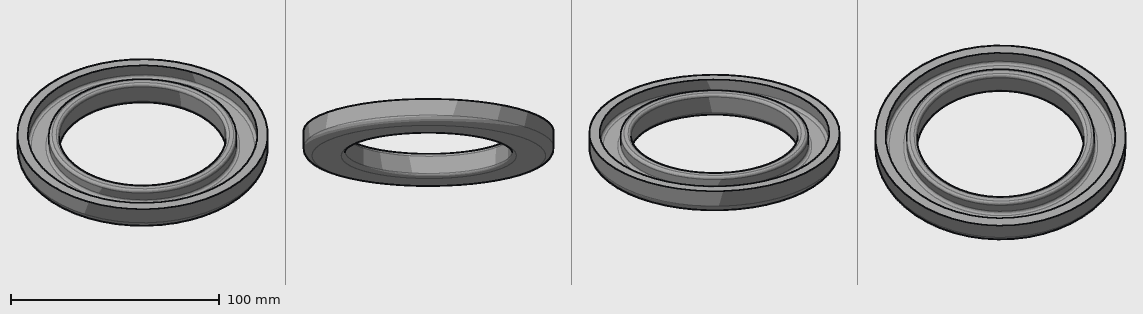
import cadquery as cq

outer_diameter = 120.0
height = outer_diameter / 10
bore_diameter = outer_diameter * 2 / 3
outer_radius = outer_diameter / 2
bore_radius = bore_diameter / 2

rim_thickness = outer_diameter / 24
collar_thickness = rim_thickness
floor_thickness = rim_thickness

bottom_fillet = outer_diameter / 30
bore_fillet = bottom_fillet / 2
small_fillet = outer_diameter / 80

channel_outer_radius = outer_radius - rim_thickness
channel_inner_radius = bore_radius + collar_thickness


def ring(outer, inner, top):
    """Flat ring about the Z axis, standing on the base plane."""
    return cq.Workplane("XY").circle(outer).circle(inner).extrude(top)


def circle_edges(radius, z):
    """Select the circular edge of the given radius at the given height."""
    margin = 0.1

    def box(half_width):
        low = (-half_width, -half_width, z - margin)
        high = (half_width, half_width, z + margin)
        return cq.selectors.BoxSelector(low, high, boundingbox=True)

    return box(radius + margin) - box(radius - margin)


result = ring(outer_radius, bore_radius, floor_thickness)
result = result.union(ring(outer_radius, channel_outer_radius, height))
result = result.union(ring(channel_inner_radius, bore_radius, height))

result = result.edges(circle_edges(outer_radius, 0)).fillet(bottom_fillet)

for radius in (channel_outer_radius, channel_inner_radius):
    result = result.edges(circle_edges(radius, floor_thickness)).fillet(small_fillet)

result = result.edges(circle_edges(bore_radius, 0)).fillet(bore_fillet)

for radius in (channel_inner_radius, bore_radius):
    result = result.edges(circle_edges(radius, height)).fillet(small_fillet)